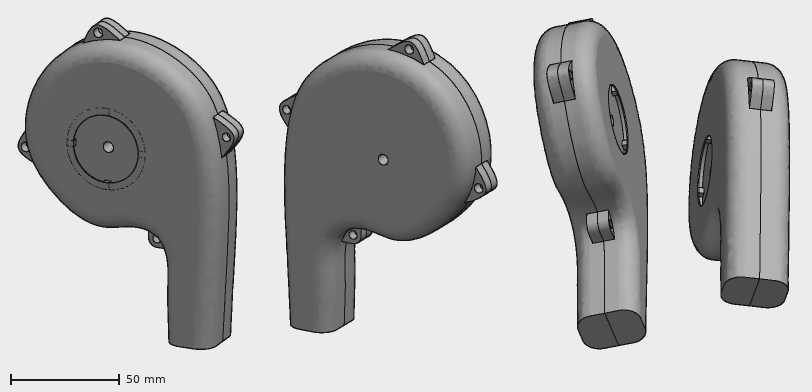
import cadquery as cq


housing_depth = 30.0
half_depth = housing_depth / 2
rim_fillet = 8.0

mouth_z = -91.5
mouth_inner_x = 29.3
mouth_outer_x = 52.7
outer_mouth_direction = (0.05, 1.0)
inner_mouth_direction = (0.02, -1.0)

outline_points = [
    (54.6, -56.2),
    (56.0, -20.7),
    (54.5, 2.2),
    (46.0, 28.4),
    (26.6, 45.0),
    (2.0, 50.6),
    (-24.4, 41.7),
    (-40.1, 21.3),
    (-42.9, -5.3),
    (-29.0, -28.3),
    (-3.0, -41.0),
    (14.0, -38.6),
    (23.7, -41.7),
    (28.1, -50.3),
    (28.7, -65.1),
]

lug_width = 10.5
lug_tip_reach = 3.8
lug_shoulder = (0.7, 5.3)
lug_root = (-7.1, 11.8)
left_screw_hole_diameter = 4.6
right_screw_hole_diameter = 4.1

corner_lug_hole = (21.6, -44.0)
corner_lug_radius = 4.3
corner_lug_reach = 8.9

opening_diameter = 33.0
opening_lip = 0.6
disc_diameter = 40.0
disc_face_depth = 3.0
shaft_hole_diameter = 5.2

tab_count = 4
tab_width = 3.0

flared_lugs = [
    ((-8.3, 52.7), 106.0, left_screw_hole_diameter),
    ((-45.3, -9.0), 195.0, left_screw_hole_diameter),
    ((57.0, 11.2), 12.0, right_screw_hole_diameter),
]


def frontal_plane(y):
    """Workplane facing -Y at the given Y, with local axes X and Z."""
    return cq.Workplane("XZ", origin=(0, y, 0))


def volute_half():
    """Front half of the housing form, rounded along its front rim."""
    blank = (
        frontal_plane(0)
        .moveTo(mouth_inner_x, mouth_z)
        .lineTo(mouth_outer_x, mouth_z)
        .spline(
            [*outline_points, (mouth_inner_x, mouth_z)],
            tangents=[outer_mouth_direction, inner_mouth_direction],
            includeCurrent=True,
        )
        .close()
        .extrude(half_depth)
    )
    rim = blank.faces("<Y").edges("not <Z")
    return rim.fillet(rim_fillet)


def flared_lug(hole_centre, direction):
    """Lug with a round tip about the hole and sides flaring into the housing."""
    root_out, root_across = lug_root
    shoulder_out, shoulder_across = lug_shoulder
    return (
        cq.Workplane("XZ")
        .transformed(offset=(*hole_centre, 0), rotate=(0, 0, direction))
        .moveTo(root_out, -root_across)
        .spline(
            [
                (shoulder_out, -shoulder_across),
                (lug_tip_reach, 0),
                (shoulder_out, shoulder_across),
                (root_out, root_across),
            ],
            includeCurrent=True,
        )
        .close()
        .extrude(lug_width / 2)
    )


def corner_lug():
    """Square lug with one rounded corner, filling the bend above the outlet."""
    x, z = corner_lug_hole
    return (
        frontal_plane(0)
        .moveTo(x - corner_lug_radius, z + corner_lug_reach)
        .lineTo(x - corner_lug_radius, z)
        .radiusArc((x, z - corner_lug_radius), -corner_lug_radius)
        .lineTo(x + corner_lug_reach, z - corner_lug_radius)
        .lineTo(x + corner_lug_reach, z + corner_lug_reach)
        .close()
        .extrude(lug_width / 2)
    )


def bore(centre, diameter):
    """Cutter for a hole along Y through the whole housing."""
    return (
        frontal_plane(housing_depth)
        .center(*centre)
        .circle(diameter / 2)
        .extrude(2 * housing_depth)
    )


def front_form():
    """Front half of the housing with its lugs and holes."""
    form = volute_half()
    for centre, direction, _ in flared_lugs:
        form = form.union(flared_lug(centre, direction))
    form = form.union(corner_lug())
    for centre, _, diameter in flared_lugs:
        form = form.cut(bore(centre, diameter))
    form = form.cut(bore(corner_lug_hole, right_screw_hole_diameter))
    return form.cut(bore((0, 0), shaft_hole_diameter))


def disc_pocket():
    """Cutter for the round opening and the wider pocket behind its lip."""
    pocket = frontal_plane(0).circle(disc_diameter / 2).extrude(half_depth - opening_lip)
    opening = frontal_plane(0).circle(opening_diameter / 2).extrude(half_depth)
    return pocket.union(opening)


def tabbed_disc():
    """Disc with a shaft hole, filling the pocket up to its face, with tabs round the face."""
    body = frontal_plane(0).circle(disc_diameter / 2).extrude(half_depth - disc_face_depth)
    tab_ring = (
        frontal_plane(0)
        .circle(disc_diameter / 2)
        .circle(opening_diameter / 2)
        .extrude(half_depth - opening_lip)
    )
    for i in range(tab_count):
        sector = (
            frontal_plane(0)
            .transformed(rotate=(0, 0, i * 360 / tab_count))
            .center(disc_diameter / 2, 0)
            .rect(disc_diameter, tab_width)
            .extrude(half_depth)
        )
        body = body.union(tab_ring.intersect(sector))
    return body.cut(bore((0, 0), shaft_hole_diameter))


half_form = front_form()
front_shell = half_form.cut(disc_pocket())
rear_shell = half_form.mirror("XZ")
disc = tabbed_disc()

result = cq.Compound.makeCompound(
    [front_shell.solids().val(), rear_shell.solids().val(), disc.solids().val()]
)